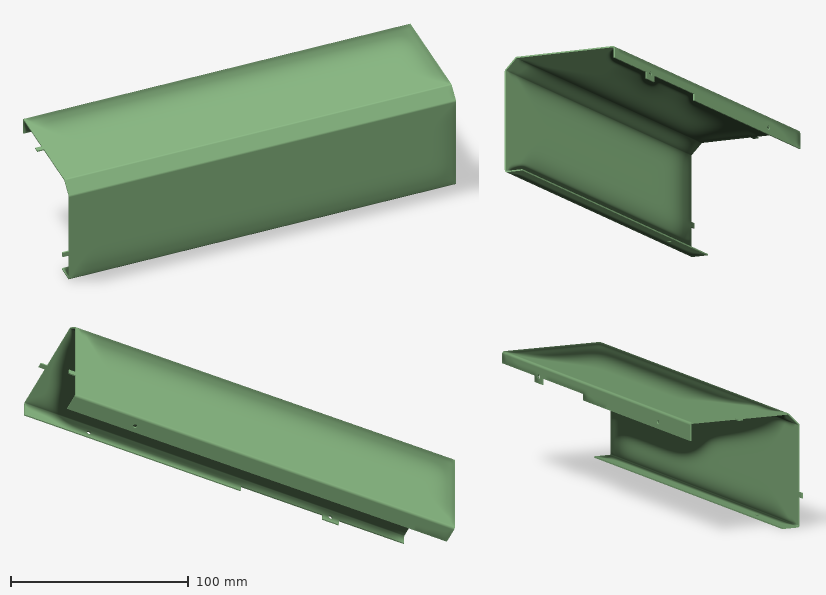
import cadquery as cq

width = 69.0
height = 66.0
sheet_length = 235.0
thickness = 0.8

bevel = 7.0
inner_bend_radius = 0.6
bend_radius = inner_bend_radius + thickness

lip_depth = 10.5
bottom_flange_width = 11.0

shallow_lip_depth = 6.8
lip_tongue_start = 40.5
lip_tongue_width = 10.0
relief_end = 101.0

hole_diameter = 2.5
hole_setback = 6.6
hole_spacing = 149.5
back_hole_offset = lip_tongue_start + lip_tongue_width / 2
lip_hole_places = [
    sheet_length - back_hole_offset,
    sheet_length - back_hole_offset - hole_spacing,
]
flange_hole_y = lip_hole_places[-1]

tab_length = 4.0
tab_width = 3.0
top_tab_x = 29.8
side_tab_z = 18.9


def block(x_range, y_range, z_range):
    """Axis-aligned box between pairs of limits."""
    limits = (x_range, y_range, z_range)
    sizes = [high - low for low, high in limits]
    corner = tuple(low for low, high in limits)
    return cq.Workplane("XY").box(*sizes, centered=False).translate(corner)


def make_bent_sheet():
    """Thin bevelled tube opened at its lower-left corner, leaving the lip and the bottom flange."""
    tube = (
        cq.Workplane("XZ")
        .polyline([
            (0, 0),
            (width, 0),
            (width, height - bevel),
            (width - bevel, height),
            (0, height),
        ])
        .close()
        .extrude(-sheet_length)
        .edges("|Y")
        .fillet(bend_radius)
        .faces("<Y or >Y")
        .shell(-thickness)
    )
    opening = block(
        (0, width - bottom_flange_width),
        (0, sheet_length),
        (0, height - lip_depth),
    )
    return tube.cut(opening)


def make_lip_relief(start, end):
    """Strip removed from the lip's lower edge between two distances from the back end."""
    return block(
        (0, thickness),
        (sheet_length - end, sheet_length - start),
        (height - lip_depth, height - shallow_lip_depth),
    )


def make_lip_hole(y):
    return (
        cq.Workplane("YZ")
        .center(y, height - hole_setback)
        .circle(hole_diameter / 2)
        .extrude(thickness)
    )


def make_flange_hole(y):
    return (
        cq.Workplane("XY")
        .center(width - hole_setback, y)
        .circle(hole_diameter / 2)
        .extrude(thickness)
    )


def make_top_tab():
    return block(
        (top_tab_x - tab_width / 2, top_tab_x + tab_width / 2),
        (-tab_length, thickness),
        (height - thickness, height),
    )


def make_side_tab():
    return block(
        (width - thickness, width),
        (-tab_length, thickness),
        (side_tab_z - tab_width / 2, side_tab_z + tab_width / 2),
    )


result = make_bent_sheet()

result = result.cut(make_lip_relief(0, lip_tongue_start))
result = result.cut(make_lip_relief(lip_tongue_start + lip_tongue_width, relief_end))

for hole_y in lip_hole_places:
    result = result.cut(make_lip_hole(hole_y))
result = result.cut(make_flange_hole(flange_hole_y))

result = result.union(make_top_tab()).union(make_side_tab())